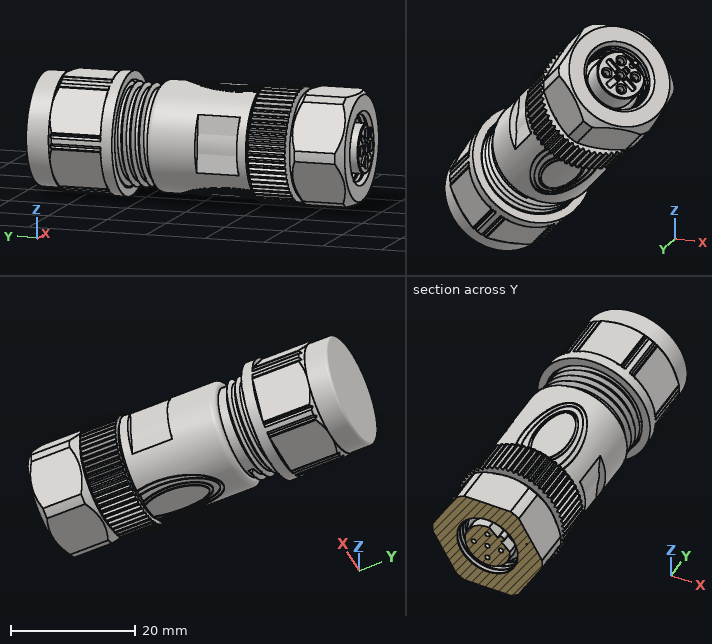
import cadquery as cq
import math

length = 54.8

coupling_front, coupling_back = 0.75, 10.15
knurl_front, knurl_back = 10.65, 16.95
body_front, body_back = 17.4, 34.45
clamp_front, clamp_hex_front, clamp_hex_back = 39.85, 41.8, 50.85

coupling_apothem = 9.05
coupling_corner_radius = 10.0
coupling_chamfer = 1.25
mouth_radius = 6.1
socket_minor_radius = 5.5
socket_major_radius = 5.9
socket_depth = 6.6
socket_pitch = 1.0

insert_radius = 4.1
insert_edge = 0.15
shoulder_front, shoulder_radius, shoulder_fillet = 4.4, 5.0, 0.8
contact_spacing = 2.45
contact_mouth_radius, contact_bore_radius, contact_pin_radius = 0.9, 0.6, 0.4
contact_bore_depth, contact_pin_depth = 1.65, 3.3
cross_width, cross_reach, cross_short_reach, cross_depth = 1.05, 3.25, 1.75, 0.55
cross_corner = 0.2
cross_hub_radius = 1.0
key_angle = 45
key_flat_distance = 3.1
key_rib_distance, key_rib_radius = 3.5, 0.55
key_dimple_distance, key_dimple_radius, key_dimple_depth = 2.7, 0.45, 0.55

knurl_teeth = 60
knurl_tip_radius, knurl_root_radius = 9.8, 9.35
knurl_tip_share = 0.3
front_neck_radius, back_neck_radius = 6.8, 8.55

body_radius = 9.2
body_fillet = 1.0
grip_front, grip_back = 18.95, 26.1
grip_distance = 7.9
grip_core_radius = 8.05
grip_roll = -4.5
oval_roll = 11.5

badge_outer = (21.1, 9.55, 4.7)
badge_middle = (21.25, 8.75, 3.9)
badge_island_base = (22.2, 6.6, 3.05)
badge_island_top = (22.2, 6.0, 2.7)
badge_step = 0.15

thread_pitch = 1.5
thread_minor_radius, thread_major_radius = 7.7, 8.55
thread_width = 1.05
thread_start = 40.9
thread_turns = 3.7

clamp_apothem = 9.5
clamp_radius = 10.25
clamp_chamfer = 0.7
clamp_edge = 0.45
clamp_bore_radius, clamp_bore_depth = 8.75, 1.1
corner_groove_inner, corner_groove_outer, corner_groove_depth = 0.35, 1.35, 0.4

overlap = 0.1


def cross_section(y):
    """Workplane at station y: local x is X, local y is Z; extrude by a negative length to go towards +Y."""
    return cq.Workplane("XZ", origin=(0, y, 0))


def cylinder(y_front, y_back, radius):
    return cross_section(y_front).circle(radius).extrude(y_front - y_back)


def turned(points):
    """Solid of revolution from (radius, y) points."""
    return cq.Workplane("XY").polyline(points).close().revolve(360, (0, 0), (0, 1))


def roll(solid, angle):
    """Turn about the Y axis; a positive angle carries +X towards +Z."""
    return solid.rotate((0, 0, 0), (0, 1, 0), -angle)


def hexagon(y_front, y_back, apothem):
    """Hexagonal bar with flats facing +Z and -Z."""
    return cross_section(y_front).polygon(6, 2 * apothem / math.cos(math.pi / 6)).extrude(y_front - y_back)


def helical_ridge(y_start, pitch, turns, base_radius, crest_radius, width):
    """Triangular right-handed thread ridge starting at +X and advancing towards -Y."""
    path = cq.Wire.makeHelix(pitch, pitch * turns, base_radius)
    ridge = (
        cq.Workplane("XZ")
        .polyline([(base_radius, -width / 2), (crest_radius, 0), (base_radius, width / 2)])
        .close()
        .sweep(cq.Workplane(obj=path), isFrenet=True)
    )
    return ridge.rotate((0, 0, 0), (1, 0, 0), 90).translate((0, y_start, 0))


def coupling_nut():
    end_radius = coupling_corner_radius - coupling_chamfer
    envelope = turned([
        (0, coupling_front),
        (end_radius, coupling_front),
        (coupling_corner_radius, coupling_front + coupling_chamfer),
        (coupling_corner_radius, coupling_back - coupling_chamfer),
        (end_radius, coupling_back),
        (0, coupling_back),
    ])
    mouth_depth = mouth_radius - socket_minor_radius
    socket = turned([
        (0, coupling_front),
        (mouth_radius, coupling_front),
        (socket_minor_radius, coupling_front + mouth_depth),
        (socket_minor_radius, socket_depth),
        (0, socket_depth),
    ])
    nut = hexagon(coupling_front, coupling_back, coupling_apothem).intersect(envelope).cut(socket)
    turns = math.floor((socket_depth - coupling_front - mouth_depth) / socket_pitch)
    for turn in range(turns):
        groove_y = coupling_front + mouth_depth + (turn + 0.5) * socket_pitch
        nut = nut.cut(turned([
            (socket_minor_radius - overlap, groove_y - socket_pitch / 2),
            (socket_major_radius, groove_y),
            (socket_minor_radius - overlap, groove_y + socket_pitch / 2),
        ]))
    return nut


def insert():
    key_cut = (
        cross_section(0)
        .center(key_flat_distance + insert_radius / 2, 0)
        .rect(insert_radius, 2 * insert_radius)
        .extrude(-shoulder_front)
    )
    key_rib = cross_section(0).center(key_rib_distance, 0).circle(key_rib_radius).extrude(-shoulder_front)
    key_dimple = (
        cross_section(0).center(key_dimple_distance, 0).circle(key_dimple_radius).extrude(-key_dimple_depth)
    )
    core = cylinder(0, socket_depth + overlap, insert_radius).cut(roll(key_cut, key_angle))
    core = core.faces("<Y").edges().chamfer(insert_edge)
    key_rib = key_rib.faces("<Y").edges().chamfer(insert_edge)
    core = core.union(roll(key_rib, key_angle)).cut(roll(key_dimple, key_angle))
    shoulder = cylinder(shoulder_front, socket_depth + overlap, shoulder_radius)
    core = core.union(shoulder.faces("<Y").edges().fillet(shoulder_fillet))
    return core.cut(cross_recess()).cut(contact_holes())


def cross_recess():
    def arm(angle, reach):
        bar = cross_section(0).center(reach / 2, 0).rect(reach, cross_width).extrude(-cross_depth)
        return roll(bar.edges("|Y and >X").fillet(cross_corner), angle)

    cross = arm(key_angle, cross_short_reach)
    for quarter in range(1, 4):
        cross = cross.union(arm(key_angle + 90 * quarter, cross_reach))
    return cross.cut(cylinder(0, cross_depth, cross_hub_radius))


def contact_holes():
    taper_depth = contact_mouth_radius - contact_bore_radius
    hole = turned([
        (0, 0),
        (contact_mouth_radius, 0),
        (contact_bore_radius, taper_depth),
        (contact_bore_radius, contact_bore_depth),
        (contact_pin_radius, contact_bore_depth),
        (contact_pin_radius, contact_pin_depth),
        (0, contact_pin_depth),
    ])
    holes = hole
    for quarter in range(4):
        holes = holes.union(roll(hole.translate((contact_spacing, 0, 0)), 90 * quarter))
    return holes


def knurled_ring():
    pitch_angle = 2 * math.pi / knurl_teeth
    half_tip = knurl_tip_share / 2
    tooth = [(-half_tip, knurl_tip_radius), (half_tip, knurl_tip_radius), (0.5, knurl_root_radius)]
    points = []
    for index in range(knurl_teeth):
        for position, radius in tooth:
            angle = (index + position) * pitch_angle
            points.append((radius * math.cos(angle), radius * math.sin(angle)))
    ring = cross_section(knurl_front).polyline(points).close().extrude(knurl_front - knurl_back)
    front_neck = cylinder(coupling_back - overlap, knurl_front + overlap, front_neck_radius)
    back_neck = cylinder(knurl_back - overlap, body_front + overlap, back_neck_radius)
    return ring.union(front_neck).union(back_neck)


def grip_cut():
    """Pair of opposed flats with the round core showing through their middle."""
    grip_length = grip_back - grip_front
    slab = cross_section(grip_front).rect(2 * grip_distance, 2 * body_radius).extrude(-grip_length)
    flats = cylinder(grip_front, grip_back, body_radius + overlap).cut(slab)
    return roll(flats.cut(cylinder(grip_front, grip_back, grip_core_radius)), grip_roll)


def oval_prism(centre_y, half_length, half_width):
    outline = cq.Workplane("XY", origin=(0, centre_y, 0)).ellipse(half_width, half_length)
    return outline.extrude(body_radius + overlap)


def badge_cut():
    """Two-step oval moat around an island, cut off by the front of the body."""
    upper = oval_prism(*badge_outer).cut(oval_prism(*badge_island_top))
    upper = upper.cut(cylinder(0, length, body_radius - badge_step))
    lower = oval_prism(*badge_middle).cut(oval_prism(*badge_island_base))
    lower = lower.cut(cylinder(0, length, body_radius - 2 * badge_step))
    return upper.union(lower)


def body():
    shell = cylinder(body_front, body_back, body_radius).faces(">Y").edges().fillet(body_fillet)
    shell = shell.cut(grip_cut())
    badge = badge_cut()
    for side in (0, 180):
        shell = shell.cut(roll(badge, side - oval_roll))
    return shell


def male_thread():
    root = cylinder(body_back - overlap, clamp_hex_front, thread_minor_radius)
    ridge = helical_ridge(
        thread_start, thread_pitch, thread_turns, thread_minor_radius - overlap, thread_major_radius, thread_width
    )
    return root.union(ridge)


def clamp_nut():
    sleeve = cylinder(clamp_hex_back - overlap, length, clamp_apothem).faces(">Y").edges().fillet(clamp_edge)
    envelope = turned([
        (0, clamp_hex_front),
        (clamp_radius, clamp_hex_front),
        (clamp_radius, clamp_hex_back - clamp_chamfer),
        (clamp_radius - clamp_chamfer, clamp_hex_back),
        (0, clamp_hex_back),
    ])
    hex_part = hexagon(clamp_hex_front, clamp_hex_back, clamp_apothem).intersect(envelope)
    rim_radius = clamp_radius + overlap
    groove_middle = (corner_groove_inner + corner_groove_outer) / 2
    for side in (-1, 1):
        groove = (
            cross_section(clamp_hex_front)
            .polyline([
                (rim_radius, side * corner_groove_inner),
                (clamp_radius - corner_groove_depth, side * groove_middle),
                (rim_radius, side * corner_groove_outer),
            ])
            .close()
            .extrude(clamp_hex_front - clamp_hex_back)
        )
        for corner in range(6):
            hex_part = hex_part.cut(roll(groove, 60 * corner))
    collar = cylinder(clamp_front, clamp_hex_front, clamp_radius)
    collar = collar.cut(cylinder(clamp_front, clamp_front + clamp_bore_depth, clamp_bore_radius))
    return sleeve.union(hex_part).union(collar)


result = (
    coupling_nut()
    .union(insert())
    .union(knurled_ring())
    .union(body())
    .union(clamp_nut())
    .union(male_thread())
)